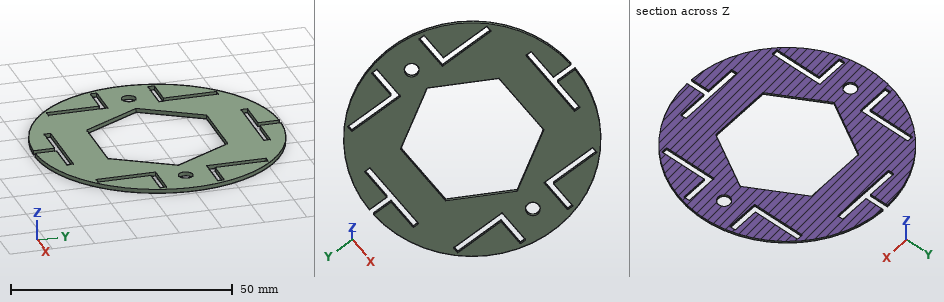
import cadquery as cq
import math

disc_diameter = 58.0
thickness = 1.0

hex_across_flats = 28.25
hex_across_corners = hex_across_flats / math.cos(math.pi / 6)

hole_diameter = 3.3
hole_offset = 22.0

slot_width = 1.5

t_bar_length = 17.65
t_bar_inner_y = 22.45

l_corner_x = 18.45
l_corner_y = 6.05
l_end_x = 26.95
l_end_y = 20.0


def slot_box(x_min, x_max, y_min, y_max):
    """Rectangular cutter through the full thickness."""
    return cq.Workplane("XY").box(
        x_max - x_min, y_max - y_min, thickness, centered=False
    ).translate((x_min, y_min, 0))


def t_slot():
    """T-shaped cutter at +Y whose stem runs out through the rim."""
    bar = slot_box(-t_bar_length / 2, t_bar_length / 2, t_bar_inner_y, t_bar_inner_y + slot_width)
    stem = slot_box(-slot_width / 2, slot_width / 2, t_bar_inner_y, disc_diameter / 2 + slot_width)
    return bar.union(stem)


def l_slot():
    """L-shaped cutter in the +X +Y quadrant."""
    leg_x = slot_box(l_corner_x, l_end_x, l_corner_y, l_corner_y + slot_width)
    leg_y = slot_box(l_corner_x, l_corner_x + slot_width, l_corner_y, l_end_y)
    return leg_x.union(leg_y)


result = (
    cq.Workplane("XY")
    .circle(disc_diameter / 2)
    .polygon(6, hex_across_corners)
    .pushPoints([(-hole_offset, 0), (hole_offset, 0)])
    .circle(hole_diameter / 2)
    .extrude(thickness)
)

upper_slots = [t_slot(), l_slot(), l_slot().mirror("YZ")]
for slot in upper_slots:
    result = result.cut(slot).cut(slot.mirror("XZ"))